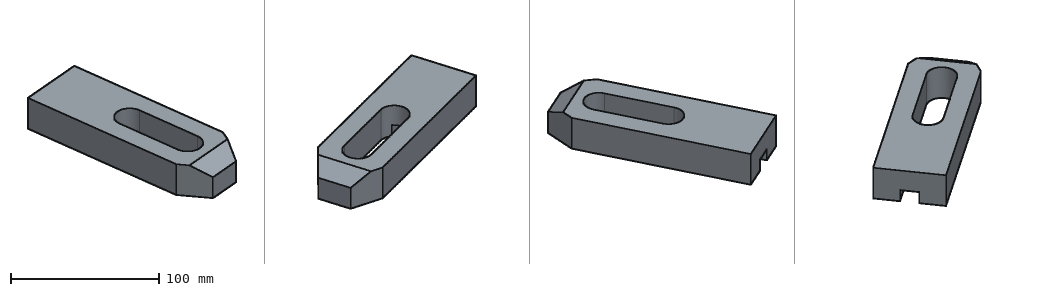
import cadquery as cq
import math

LENGTH = 150.0
WIDTH = 50.0
THICKNESS = 25.0

NOSE_WIDTH = WIDTH / 2
NOSE_ANGLE = math.radians(30)
BEVEL_DROP = 8.0

SLOT_WIDTH = 21.0
SLOT_LENGTH = 71.0
SLOT_TO_NOSE = 21.5

GROOVE_WIDTH = 13.0
GROOVE_DEPTH = 9.0

tail_x = -LENGTH / 2
nose_x = LENGTH / 2
bottom_z = -THICKNESS / 2
top_z = THICKNESS / 2

taper_length = (WIDTH - NOSE_WIDTH) / 2 / math.tan(NOSE_ANGLE)
shoulder_x = nose_x - taper_length
bevel_length = BEVEL_DROP / math.tan(NOSE_ANGLE)
slot_center_x = nose_x - SLOT_TO_NOSE - SLOT_LENGTH / 2


def make_bar():
    """Flat bar whose sides taper in to the narrower nose."""
    return (
        cq.Workplane("XY", origin=(0, 0, bottom_z))
        .moveTo(tail_x, -WIDTH / 2)
        .lineTo(shoulder_x, -WIDTH / 2)
        .lineTo(nose_x, -NOSE_WIDTH / 2)
        .lineTo(nose_x, NOSE_WIDTH / 2)
        .lineTo(shoulder_x, WIDTH / 2)
        .lineTo(tail_x, WIDTH / 2)
        .close()
        .extrude(THICKNESS)
    )


def make_nose_bevel():
    """Wedge removed from the top of the nose."""
    return (
        cq.Workplane("XZ")
        .moveTo(nose_x - bevel_length, top_z)
        .lineTo(nose_x, top_z)
        .lineTo(nose_x, top_z - BEVEL_DROP)
        .close()
        .extrude(WIDTH / 2, both=True)
    )


def make_slot():
    """Round-ended slot through the full thickness."""
    return (
        cq.Workplane("XY", origin=(slot_center_x, 0, bottom_z))
        .slot2D(SLOT_LENGTH, SLOT_WIDTH)
        .extrude(THICKNESS)
    )


def make_groove():
    """Groove in the underside, from the tail face into the slot."""
    return cq.Workplane("XY", origin=(tail_x, 0, bottom_z)).box(
        slot_center_x - tail_x,
        GROOVE_WIDTH,
        GROOVE_DEPTH,
        centered=(False, True, False),
    )


result = make_bar().cut(make_nose_bevel()).cut(make_slot()).cut(make_groove())